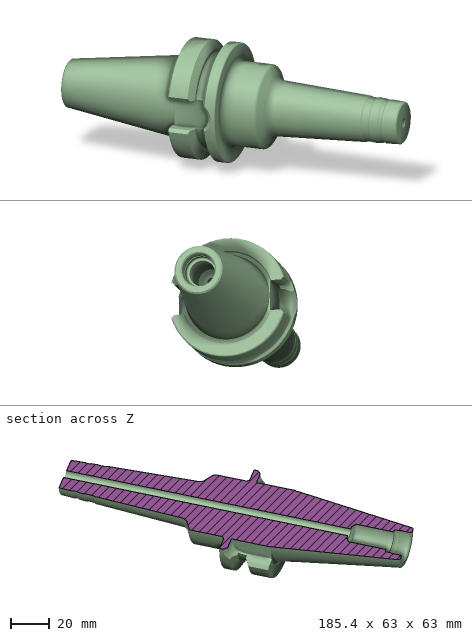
import cadquery as cq
import math

length = 185.4
gauge_x = 65.5
flange_start = 66.0
drive_ring_end = 76.8
rim_start = 86.5
flange_end = 92.3
boss_land_end = 110.0

flange_radius = 31.5
gauge_radius = 22.2
taper_ratio = 7 / 48
tail_radius = gauge_radius - gauge_x * taper_ratio
tail_chamfer = 0.7
boss_radius = gauge_radius
boss_fillet = 1.9
boss_edge_fillet = 2.0
rim_fillet = 0.7

recess_depth = 0.7
recess_radius = 24.7
recess_floor_radius = 24.1

gripper_radius = 25.2
gripper_wall_radius = 27.0
gripper_wall_run = 2.6

nose_angle = math.radians(3)
nose_tip_radius = 11.1
tip_chamfer = 0.5
shoulder_angle = math.radians(60)
shoulder_blend = 4.0

marking_grooves = [(165.7, 170.8), (174.6, 177.6)]
marking_depth = 0.4
marking_wall_run = 0.7

slot_width = 16.0
slot_floor = 22.6
slot_end = 88.3
wall_chamfer_floor = 28.4
end_chamfer_floor = 29.5

mouth_diameter = 19.0
counterbore_diameter = 17.6
counterbore_depth = 6.1
entry_diameter = 17.0
entry_depth = 9.0
pilot_mouth_diameter = 13.9
pilot_diameter = 13.5
pilot_depth = 29.7
drill_diameter = 8.5
drill_point_angle = math.radians(118)
drill_cone_end = pilot_depth + (pilot_diameter - drill_diameter) / 2 / math.tan(drill_point_angle / 2)
coolant_diameter = 5.0


def nose_radius(x):
    return nose_tip_radius + (length - x) * math.tan(nose_angle)


def boss_edge_point(angle):
    """Point on the convex boss edge where the surface has turned by angle."""
    x = boss_land_end + boss_edge_fillet * math.sin(angle)
    r = boss_radius - boss_edge_fillet * (1 - math.cos(angle))
    return (x, r)


def shoulder_blend_points():
    """Start, middle and end of the arc tangent to the shoulder and the nose cone."""
    boss_end, boss_edge_radius = boss_edge_point(shoulder_angle)
    shoulder_slope = math.tan(shoulder_angle)
    nose_slope = math.tan(nose_angle)
    shoulder_offset = boss_edge_radius + shoulder_blend / math.cos(shoulder_angle)
    nose_offset = nose_radius(boss_end) + shoulder_blend / math.cos(nose_angle)
    run = (shoulder_offset - nose_offset) / (shoulder_slope - nose_slope)
    center_x = boss_end + run
    center_r = nose_offset - nose_slope * run

    def arc_point(angle):
        x = center_x - shoulder_blend * math.sin(angle)
        r = center_r - shoulder_blend * math.cos(angle)
        return (x, r)

    middle_angle = (shoulder_angle + nose_angle) / 2
    return [arc_point(a) for a in (shoulder_angle, middle_angle, nose_angle)]


def revolve_about_x(outline):
    return outline.close().revolve(360, (0, 0, 0), (1, 0, 0))


def make_body():
    blend_start, blend_middle, blend_end = shoulder_blend_points()
    bevel = rim_fillet * (1 - math.sqrt(0.5))
    outline = (
        cq.Workplane("XY")
        .moveTo(0, 0)
        .lineTo(0, tail_radius - tail_chamfer)
        .lineTo(tail_chamfer, tail_radius + tail_chamfer * taper_ratio)
        .lineTo(gauge_x, gauge_radius)
        .lineTo(flange_start + recess_depth, gauge_radius)
        .lineTo(flange_start + recess_depth, recess_floor_radius)
        .lineTo(flange_start, recess_radius)
        .lineTo(flange_start, flange_radius - rim_fillet)
        .threePointArc(
            (flange_start + bevel, flange_radius - bevel),
            (flange_start + rim_fillet, flange_radius),
        )
        .lineTo(drive_ring_end, flange_radius)
        .lineTo(drive_ring_end + gripper_wall_run, gripper_wall_radius)
        .lineTo(drive_ring_end + gripper_wall_run, gripper_radius)
        .lineTo(rim_start - gripper_wall_run, gripper_radius)
        .lineTo(rim_start - gripper_wall_run, gripper_wall_radius)
        .lineTo(rim_start, flange_radius)
        .lineTo(flange_end - rim_fillet, flange_radius)
        .threePointArc(
            (flange_end - bevel, flange_radius - bevel),
            (flange_end, flange_radius - rim_fillet),
        )
        .lineTo(flange_end, boss_radius + boss_fillet)
        .threePointArc(
            (
                flange_end + boss_fillet * (1 - math.sqrt(0.5)),
                boss_radius + boss_fillet * (1 - math.sqrt(0.5)),
            ),
            (flange_end + boss_fillet, boss_radius),
        )
        .lineTo(boss_land_end, boss_radius)
        .threePointArc(boss_edge_point(shoulder_angle / 2), boss_edge_point(shoulder_angle))
        .lineTo(*blend_start)
        .threePointArc(blend_middle, blend_end)
        .lineTo(length - tip_chamfer, nose_radius(length - tip_chamfer))
        .lineTo(length, nose_tip_radius - tip_chamfer)
        .lineTo(length, 0)
    )
    return revolve_about_x(outline)


def make_marking_groove(start, end):
    floor_start = start + marking_wall_run
    floor_end = end - marking_wall_run
    clear_radius = nose_radius(start) + 1.9
    outline = cq.Workplane("XY").polyline([
        (start, nose_radius(start)),
        (floor_start, nose_radius(floor_start) - marking_depth),
        (floor_end, nose_radius(floor_end) - marking_depth),
        (end, nose_radius(end)),
        (end, clear_radius),
        (start, clear_radius),
    ])
    return revolve_about_x(outline)


def make_bore():
    outline = cq.Workplane("XY").polyline([
        (0, 0),
        (0, mouth_diameter / 2),
        ((mouth_diameter - counterbore_diameter) / 2, counterbore_diameter / 2),
        (counterbore_depth, counterbore_diameter / 2),
        (counterbore_depth, entry_diameter / 2),
        (entry_depth, entry_diameter / 2),
        (entry_depth, pilot_mouth_diameter / 2),
        (entry_depth + (pilot_mouth_diameter - pilot_diameter) / 2, pilot_diameter / 2),
        (pilot_depth, pilot_diameter / 2),
        (drill_cone_end, drill_diameter / 2),
        (drill_cone_end, coolant_diameter / 2),
        (length, coolant_diameter / 2),
        (length, 0),
    ])
    return revolve_about_x(outline)


def make_slot(side):
    """Round-ended slot through the drive ring, cut inward from side = +1 or -1 along Y."""
    half_width = slot_width / 2
    arc_center = slot_end - half_width
    outline = (
        cq.Workplane("XZ", origin=(0, side * slot_floor, 0))
        .moveTo(flange_start, -half_width)
        .lineTo(arc_center, -half_width)
        .threePointArc((slot_end, 0), (arc_center, half_width))
        .lineTo(flange_start, half_width)
        .close()
    )
    return outline.extrude(-side * flange_radius)


def make_wall_chamfer(side):
    """Wedge that breaks both straight slot edges of the drive ring at 45 degrees."""
    half_width = slot_width / 2
    rise = flange_radius - wall_chamfer_floor
    outline = cq.Workplane("YZ", origin=(flange_start, 0, 0)).polyline([
        (side * wall_chamfer_floor, -half_width),
        (side * flange_radius, -half_width - rise),
        (side * flange_radius, half_width + rise),
        (side * wall_chamfer_floor, half_width),
    ])
    return outline.close().extrude(drive_ring_end + gripper_wall_run - flange_start)


def make_end_chamfer(side):
    """45 degree cone that breaks the rounded slot edge in the rim."""
    half_width = slot_width / 2
    rise = flange_radius - end_chamfer_floor
    cone = cq.Solid.makeCone(
        half_width,
        half_width + rise,
        rise,
        pnt=cq.Vector(slot_end - half_width, side * end_chamfer_floor, 0),
        dir=cq.Vector(0, side, 0),
    )
    return cq.Workplane(cone)


body = make_body()
for side in (-1, 1):
    body = body.cut(make_slot(side))
    body = body.cut(make_wall_chamfer(side))
    body = body.cut(make_end_chamfer(side))
for start, end in marking_grooves:
    body = body.cut(make_marking_groove(start, end))
result = body.cut(make_bore())